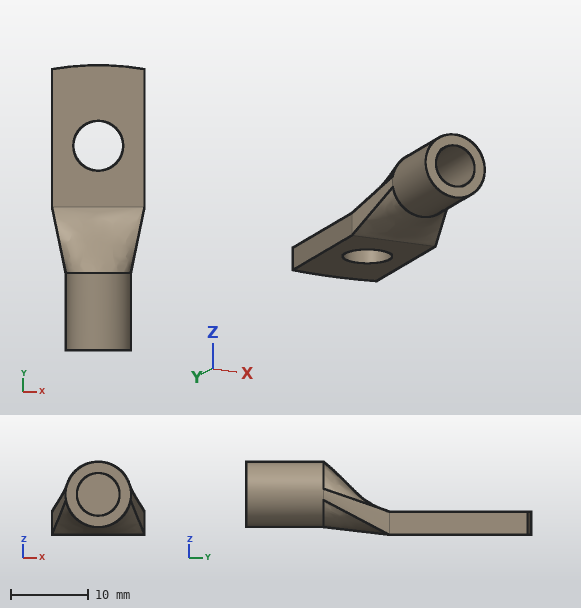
import cadquery as cq
import math

length = 36.93
tongue_width = 12.0
tongue_thickness = 3.03
tongue_length = 18.4
tip_sagitta = 0.5
bolt_hole_diameter = 6.43
bolt_hole_from_tip = 10.45

height = 9.5
barrel_diameter = 8.5
barrel_length = 10.0
bore_diameter = 5.55

barrel_radius = barrel_diameter / 2
axis_z = height - barrel_radius
tongue_start = length - tongue_length
half_width = tongue_width / 2

rim_angle = math.radians(10)

side_steps = 6
section_steps = 4

crown_square_share = 2.0
crown_cube_share = 1.0 - crown_square_share


def make_tongue():
    shoulder_y = length - tip_sagitta
    return (
        cq.Workplane("XY")
        .moveTo(-half_width, tongue_start)
        .lineTo(half_width, tongue_start)
        .lineTo(half_width, shoulder_y)
        .threePointArc((0, length), (-half_width, shoulder_y))
        .close()
        .extrude(tongue_thickness)
        .faces(">Z").workplane(origin=(0, length - bolt_hole_from_tip, 0))
        .hole(bolt_hole_diameter)
    )


def make_barrel():
    return (
        cq.Workplane("XZ", origin=(0, barrel_length, axis_z))
        .circle(barrel_radius)
        .circle(bore_diameter / 2)
        .extrude(barrel_length)
    )


def crown_rise(fraction):
    """Share of the climb reached on the crown's centre line, which leaves the tongue level."""
    return crown_square_share * fraction**2 + crown_cube_share * fraction**3


def side_spline(start, end, start_angle, end_angle, fraction, is_crown=False):
    """One side of a section: a straight root side blending into an arc of the rim."""
    y = tongue_start + fraction * (barrel_length - tongue_start)
    points = []
    for i in range(side_steps + 1):
        across = i / side_steps
        angle = start_angle + across * (end_angle - start_angle)
        root_x = start[0] + across * (end[0] - start[0])
        root_z = start[1] + across * (end[1] - start[1])
        rim_x = barrel_radius * math.cos(angle)
        rim_z = axis_z + barrel_radius * math.sin(angle)
        climb = fraction
        if is_crown:
            centre_share = (math.sin(angle) - math.sin(rim_angle)) / (1 - math.sin(rim_angle))
            climb += centre_share * (crown_rise(fraction) - fraction)
        x = root_x + fraction * (rim_x - root_x)
        z = root_z + climb * (rim_z - root_z)
        points.append(cq.Vector(x, y, z))
    return cq.Edge.makeSpline(points)


def transition_section(fraction):
    """Closed outline at a fraction of the way from the tongue to the barrel."""
    lower_right = (half_width, 0)
    upper_right = (half_width, tongue_thickness)
    upper_left = (-half_width, tongue_thickness)
    lower_left = (-half_width, 0)
    right = side_spline(lower_right, upper_right, -rim_angle, rim_angle, fraction)
    crown = side_spline(upper_right, upper_left, rim_angle, math.pi - rim_angle, fraction, True)
    left = side_spline(upper_left, lower_left, math.pi - rim_angle, math.pi + rim_angle, fraction)
    belly = side_spline(lower_left, lower_right, math.pi + rim_angle, 2 * math.pi - rim_angle, fraction)
    return cq.Wire.assembleEdges([right, crown, left, belly])


def make_transition():
    sections = [transition_section(i / section_steps) for i in range(section_steps + 1)]
    return cq.Workplane(cq.Solid.makeLoft(sections))


result = make_tongue().union(make_transition()).union(make_barrel())